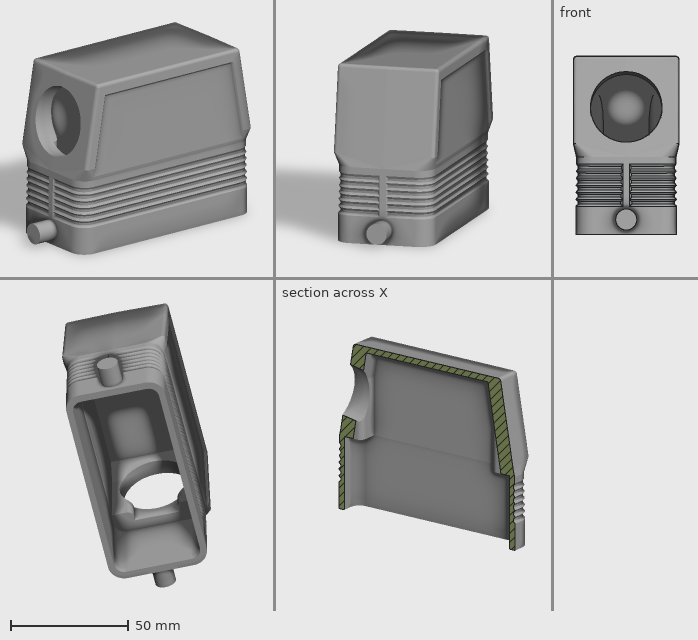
import cadquery as cq
import math

BASE_HALF_X = 21.5
BASE_HALF_Y = 46.7
BASE_HEIGHT = 12.0
COLLAR_SETBACK = 0.3
COLLAR_HALF_X = BASE_HALF_X - COLLAR_SETBACK
COLLAR_HALF_Y = BASE_HALF_Y - COLLAR_SETBACK
COLLAR_BOTTOM = 30.0
COLLAR_TOP = 33.0
CORNER_RADIUS = 7.0

GROOVE_COUNT = 6
RIB_PITCH = (COLLAR_BOTTOM - BASE_HEIGHT) / GROOVE_COUNT
GROOVE_DEPTH = 1.0
RIB_FLANK = 1.0
RIB_FOOT = 0.05
STRIP_HALF_WIDTH = 1.4

TOTAL_HEIGHT = 76.0
HOOD_HALF_X = 22.5
HOOD_BOTTOM = 38.7
END_TILT = math.radians(9.75)
END_SLOPE = math.tan(END_TILT)
END_RIDGE = 0.4
HOOD_FILLET = 1.5

PANEL_TOP = 70.8
PANEL_DEPTH = 0.9
PANEL_END_MARGIN = 5.2

ENTRY_DIAMETER = 30.5
ENTRY_Z = 54.4
ENTRY_DEPTH = 20.0
ENTRY_LEAD = 10.0

PIN_DIAMETER = 9.0
PIN_Z = 6.4
PIN_TIP_SPAN = 111.7

CAVITY_HALF_X = 18.5
CAVITY_TOP = 73.0
END_WALL = 7.5
POST_TOP = 59.8
POST_GAP_HALF = 9.6
POST_ROUND = 2.6
SOCKET_HALF_X = 18.8
SOCKET_HALF_Y = 43.5
SOCKET_RADIUS = 4.5


def hood_half_length(z):
    """Half length of the hood on its centre line at height z."""
    return COLLAR_HALF_Y - (z - COLLAR_TOP) * END_SLOPE


def rounded_block(half_x, half_y, radius, bottom, top):
    block = cq.Workplane("XY").workplane(offset=bottom)
    block = block.rect(2 * half_x, 2 * half_y).extrude(top - bottom)
    return block.edges("|Z").fillet(radius)


def grip_setback(z):
    """Setback of the rib peaks and end strips behind the base faces at height z."""
    return COLLAR_SETBACK * (z - BASE_HEIGHT) / (COLLAR_BOTTOM - BASE_HEIGHT)


def rib_flank(peak_z, direction):
    """One tapering half of a rib, from its peak up (direction 1) or down (direction -1)."""
    setback = grip_setback(peak_z)
    half_x = BASE_HALF_X - setback
    half_y = BASE_HALF_Y - setback
    flank_angle = math.degrees(math.atan((GROOVE_DEPTH - setback) / RIB_FLANK))
    outline = cq.Sketch().rect(2 * half_x, 2 * half_y).vertices().fillet(CORNER_RADIUS)
    flank = cq.Workplane("XY").workplane(offset=peak_z).placeSketch(outline)
    return flank.extrude(direction * (RIB_FLANK + RIB_FOOT), taper=flank_angle)


def lower_body():
    body = rounded_block(BASE_HALF_X, BASE_HALF_Y, CORNER_RADIUS, 0, BASE_HEIGHT)
    core = rounded_block(
        BASE_HALF_X - GROOVE_DEPTH,
        BASE_HALF_Y - GROOVE_DEPTH,
        CORNER_RADIUS - GROOVE_DEPTH,
        BASE_HEIGHT,
        COLLAR_BOTTOM,
    )
    collar = rounded_block(COLLAR_HALF_X, COLLAR_HALF_Y, CORNER_RADIUS, COLLAR_BOTTOM, COLLAR_TOP)
    body = body.union(core).union(collar)
    for index in range(GROOVE_COUNT + 1):
        peak_z = BASE_HEIGHT + index * RIB_PITCH
        if index > 0:
            body = body.union(rib_flank(peak_z, -1))
        if index < GROOVE_COUNT:
            body = body.union(rib_flank(peak_z, 1))
    return body.union(end_strip(1)).union(end_strip(-1))


def end_strip(side):
    """Plain strip with 45 degree flanks that interrupts the grooves."""
    root_y = BASE_HALF_Y - 2 * GROOVE_DEPTH

    def section(z):
        face_y = BASE_HALF_Y - grip_setback(z)
        root_half = STRIP_HALF_WIDTH + face_y - root_y
        corners = [
            cq.Vector(-STRIP_HALF_WIDTH, side * face_y, z),
            cq.Vector(STRIP_HALF_WIDTH, side * face_y, z),
            cq.Vector(root_half, side * root_y, z),
            cq.Vector(-root_half, side * root_y, z),
        ]
        return cq.Wire.makePolygon(corners, close=True)

    strip = cq.Solid.makeLoft([section(BASE_HEIGHT), section(COLLAR_BOTTOM)], True)
    return cq.Workplane(obj=strip)


def hood_corner(z):
    """End, middle and start points of the rounded hood corner in the +X +Y quarter at height z."""
    turn = math.atan(END_RIDGE / HOOD_HALF_X)
    centre_x = HOOD_HALF_X - HOOD_FILLET
    end_x = centre_x + HOOD_FILLET * math.sin(turn)
    end_y = hood_half_length(z) - end_x * math.tan(turn)
    centre_y = end_y - HOOD_FILLET * math.cos(turn)
    middle_angle = (math.pi / 2 - turn) / 2
    middle_x = centre_x + HOOD_FILLET * math.cos(middle_angle)
    middle_y = centre_y + HOOD_FILLET * math.sin(middle_angle)
    return (end_x, end_y, z), (middle_x, middle_y, z), (HOOD_HALF_X, centre_y, z)


def hood_section(z):
    """Closed outline of the hood: straight sides, ridged ends and rounded corners."""
    end, middle, start = [point[:2] for point in hood_corner(z)]
    ridge = hood_half_length(z)

    def place(point, sign_x, sign_y):
        return (sign_x * point[0], sign_y * point[1])

    outline = cq.Workplane("XY").workplane(offset=z)
    outline = outline.moveTo(*place(start, 1, -1)).lineTo(*start)
    outline = outline.threePointArc(middle, end).lineTo(0, ridge)
    outline = outline.lineTo(*place(end, -1, 1))
    outline = outline.threePointArc(place(middle, -1, 1), place(start, -1, 1))
    outline = outline.lineTo(*place(start, -1, -1))
    outline = outline.threePointArc(place(middle, -1, -1), place(end, -1, -1))
    outline = outline.lineTo(0, -ridge).lineTo(*place(end, 1, -1))
    outline = outline.threePointArc(place(middle, 1, -1), place(start, 1, -1)).close()
    return outline.val()


def hood():
    sections = [hood_section(HOOD_BOTTOM), hood_section(TOTAL_HEIGHT)]
    block = cq.Workplane(obj=cq.Solid.makeLoft(sections, True))
    return block.faces(">Z").edges().fillet(HOOD_FILLET)


def flare_quarter():
    """+X +Y quarter of the transition from the collar to the hood."""
    collar_arc_x = COLLAR_HALF_X - CORNER_RADIUS
    collar_arc_y = COLLAR_HALF_Y - CORNER_RADIUS
    arc_reach = CORNER_RADIUS * math.sqrt(0.5)

    low_axis = cq.Vector(0, 0, COLLAR_TOP)
    low_ridge = cq.Vector(0, COLLAR_HALF_Y, COLLAR_TOP)
    low_end = cq.Vector(collar_arc_x, COLLAR_HALF_Y, COLLAR_TOP)
    low_middle = cq.Vector(collar_arc_x + arc_reach, collar_arc_y + arc_reach, COLLAR_TOP)
    low_start = cq.Vector(COLLAR_HALF_X, collar_arc_y, COLLAR_TOP)
    low_side = cq.Vector(COLLAR_HALF_X, 0, COLLAR_TOP)

    high_axis = cq.Vector(0, 0, HOOD_BOTTOM)
    high_ridge = cq.Vector(0, hood_half_length(HOOD_BOTTOM), HOOD_BOTTOM)
    high_end, high_middle, high_start = [cq.Vector(*point) for point in hood_corner(HOOD_BOTTOM)]
    high_side = cq.Vector(HOOD_HALF_X, 0, HOOD_BOTTOM)

    low_arc = cq.Edge.makeThreePointArc(low_start, low_middle, low_end)
    high_arc = cq.Edge.makeThreePointArc(high_start, high_middle, high_end)

    def flat_face(*points):
        return cq.Face.makeFromWires(cq.Wire.makePolygon(points, close=True))

    def quarter_face(arc, end, ridge, axis, side, start):
        lines = cq.Wire.makePolygon([end, ridge, axis, side, start])
        return cq.Face.makeFromWires(cq.Wire.assembleEdges([arc] + lines.Edges()))

    faces = [
        quarter_face(low_arc, low_end, low_ridge, low_axis, low_side, low_start),
        quarter_face(high_arc, high_end, high_ridge, high_axis, high_side, high_start),
        flat_face(low_axis, low_ridge, high_ridge, high_axis),
        flat_face(low_axis, low_side, high_side, high_axis),
        flat_face(low_side, low_start, high_start, high_side),
        flat_face(low_ridge, low_end, high_end),
        flat_face(low_ridge, high_end, high_ridge),
        cq.Face.makeRuledSurface(low_arc, high_arc),
    ]
    return cq.Workplane(obj=cq.Solid.makeSolid(cq.Shell.makeShell(faces)).fix())


def flare():
    quarter = flare_quarter()
    half = quarter.union(quarter.mirror("YZ"))
    return half.union(half.mirror("XZ"))


def side_panel(side):
    """Shallow recess cutter with 45 degree walls that runs out at the bottom into the flare."""

    def outline(inset):
        top = PANEL_TOP - inset
        margin = PANEL_END_MARGIN + inset
        top_y = hood_half_length(top) - margin
        bottom_y = hood_half_length(COLLAR_TOP) - margin
        x = side * (HOOD_HALF_X - inset)
        corners = [
            cq.Vector(x, top_y, top),
            cq.Vector(x, -top_y, top),
            cq.Vector(x, -bottom_y, COLLAR_TOP),
            cq.Vector(x, bottom_y, COLLAR_TOP),
        ]
        return cq.Wire.makePolygon(corners, close=True)

    return cq.Workplane(obj=cq.Solid.makeLoft([outline(0), outline(PANEL_DEPTH)], True))


def cable_entry():
    inward = cq.Vector(0, math.cos(END_TILT), -math.sin(END_TILT))
    centre = cq.Vector(0, -hood_half_length(ENTRY_Z), ENTRY_Z)
    start = centre - inward * ENTRY_LEAD
    bore = cq.Solid.makeCylinder(ENTRY_DIAMETER / 2, ENTRY_LEAD + ENTRY_DEPTH, start, inward)
    return cq.Workplane(obj=bore)


def corner_post(sign_x, sign_y):
    """Upright post in a cavity corner, rounded on its free edge."""
    face_y = hood_half_length(POST_TOP) - END_WALL
    width = CAVITY_HALF_X - POST_GAP_HALF
    depth = hood_half_length(COLLAR_TOP) - face_y
    height = CAVITY_TOP - COLLAR_TOP
    post = cq.Workplane("XY").box(width, depth, height, centered=False)
    post = post.edges("|Z and <X and <Y").fillet(POST_ROUND)
    post = post.translate((POST_GAP_HALF, face_y, COLLAR_TOP))
    if sign_x < 0:
        post = post.mirror("YZ")
    if sign_y < 0:
        post = post.mirror("XZ")
    return post


def interior():
    """Hollow space: upper cavity with four corner posts, and the socket open at the bottom."""
    top_y = hood_half_length(CAVITY_TOP) - END_WALL
    bottom_y = hood_half_length(COLLAR_TOP) - END_WALL
    profile = [
        (-bottom_y, COLLAR_TOP),
        (bottom_y, COLLAR_TOP),
        (top_y, CAVITY_TOP),
        (-top_y, CAVITY_TOP),
    ]
    cavity = cq.Workplane("YZ").polyline(profile).close().extrude(CAVITY_HALF_X, both=True)
    for sign_x in (1, -1):
        for sign_y in (1, -1):
            cavity = cavity.cut(corner_post(sign_x, sign_y))
    socket = rounded_block(SOCKET_HALF_X, SOCKET_HALF_Y, SOCKET_RADIUS, 0, COLLAR_TOP)
    return cavity.union(socket)


def locking_pin(side):
    root_y = (SOCKET_HALF_Y + BASE_HALF_Y) / 2
    length = PIN_TIP_SPAN / 2 - root_y
    start = cq.Vector(0, side * root_y, PIN_Z)
    pin = cq.Solid.makeCylinder(PIN_DIAMETER / 2, length, start, cq.Vector(0, side, 0))
    return cq.Workplane(obj=pin)


result = lower_body().union(flare()).union(hood())
for side in (1, -1):
    result = result.cut(side_panel(side))
result = result.cut(interior()).cut(cable_entry())
for side in (1, -1):
    result = result.union(locking_pin(side))